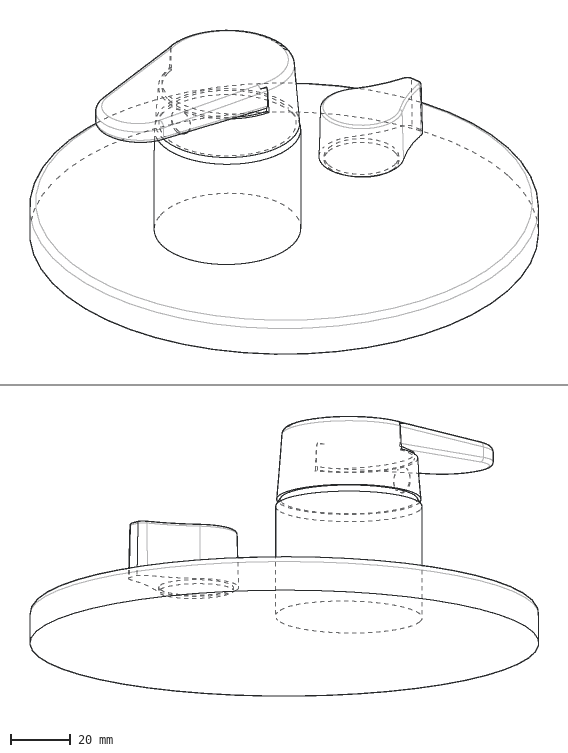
import cadquery as cq
import math

overall_length = 171.0
plate_diameter = 169.9
plate_radius = plate_diameter / 2
rim_height = 11.8
crown_height = 13.3
rim_fillet = 2.0

body_y = -27.9
body_radius = 24.5
body_top = 50.5
groove_radius = 23.0

hub_bottom = 52.9
hub_bottom_radius = 24.1
hub_top_radius = 22.2
lever_top = 76.8
lever_fillet = 2.0

ledge_z = 66.9
ledge_radius = 21.9
ledge_start_y = -32.0

arm_tip_radius = 14.2
arm_tip_y = plate_radius - overall_length
arm_back_bottom = 66.2
arm_tip_bottom = 70.5
arm_lower_fillet = 1.4

plug_radius = 4.3
plug_z = 62.6
plug_flat_depth = 0.5

knob_y = 38.1
knob_radius = 14.2
knob_bottom = 13.9
knob_top = 32.7
knob_draft = 1.5
knob_fillet = 0.9
knob_tip_half_width = 4.5
knob_shoulder_y = 62.8
knob_tip_y = 65.3
knob_tip_corner = 2.4
knob_blend_angle = math.radians(34)
stem_radius = 12.5


def make_plate():
    rim = cq.Workplane("XY").circle(plate_radius).extrude(rim_height)
    rim = rim.faces(">Z").edges().fillet(rim_fillet)
    face_radius = plate_radius - rim_fillet
    crown = (
        cq.Workplane("XZ")
        .moveTo(0, 0)
        .lineTo(face_radius, 0)
        .lineTo(face_radius, rim_height)
        .lineTo(0, crown_height)
        .close()
        .revolve(360, (0, 0, 0), (0, 1, 0))
    )
    return rim.union(crown)


def make_body_and_hub():
    """Body, groove and tapered hub, turned about one vertical axis."""
    profile = [
        (0, 0),
        (body_radius, 0),
        (body_radius, body_top),
        (groove_radius, hub_bottom),
        (hub_bottom_radius, hub_bottom),
        (hub_top_radius, lever_top),
        (0, lever_top),
    ]
    turned = cq.Workplane("XZ").polyline(profile).close().revolve(360, (0, 0, 0), (0, 1, 0))
    turned = turned.faces(">Z").edges().fillet(lever_fillet)
    return turned.translate((0, body_y, 0))


def cut_ledge(part):
    """Trim the front of the hub above the ledge to a smaller cylinder."""
    height = lever_top - ledge_z
    ring = (
        cq.Workplane("XY", origin=(0, body_y, ledge_z))
        .circle(hub_bottom_radius)
        .circle(ledge_radius)
        .extrude(height)
    )
    front_size = 2 * hub_bottom_radius
    front = (
        cq.Workplane("XY", origin=(0, ledge_start_y - front_size / 2, ledge_z))
        .rect(front_size, front_size)
        .extrude(height)
    )
    return part.cut(ring.intersect(front))


def make_arm():
    """Two circles joined by their tangent lines, with a rising underside."""
    tip_center_y = arm_tip_y + arm_tip_radius
    lean = math.asin((hub_top_radius - arm_tip_radius) / (body_y - tip_center_y))
    root_x = hub_top_radius * math.cos(lean)
    root_y = body_y - hub_top_radius * math.sin(lean)
    end_x = arm_tip_radius * math.cos(lean)
    end_y = tip_center_y - arm_tip_radius * math.sin(lean)
    blank = (
        cq.Workplane("XY")
        .moveTo(-root_x, root_y)
        .threePointArc((0, body_y + hub_top_radius), (root_x, root_y))
        .lineTo(end_x, end_y)
        .threePointArc((0, arm_tip_y), (-end_x, end_y))
        .close()
        .extrude(lever_top)
    )
    side = (
        cq.Workplane("YZ")
        .moveTo(arm_tip_y, arm_tip_bottom)
        .lineTo(body_y + hub_top_radius, arm_back_bottom)
        .lineTo(body_y + hub_top_radius, lever_top)
        .lineTo(arm_tip_y, lever_top)
        .close()
        .extrude(hub_top_radius, both=True)
    )
    arm = blank.intersect(side)
    arm = arm.faces(">Z").edges().fillet(lever_fillet)
    return arm.faces("<Z").edges().fillet(arm_lower_fillet)


def cut_plug_seat(part):
    taper = (hub_bottom_radius - hub_top_radius) / (lever_top - hub_bottom)
    hub_radius = hub_bottom_radius - taper * (plug_z - hub_bottom)
    flat_y = body_y - hub_radius + plug_flat_depth
    cutter = (
        cq.Workplane("XZ", origin=(0, flat_y, plug_z))
        .circle(plug_radius)
        .extrude(2 * plug_flat_depth)
    )
    return part.cut(cutter)


def make_knob():
    """Teardrop knob: a round end that narrows through hollow flanks to a blunt tip."""
    blend_x = knob_radius * math.cos(knob_blend_angle)
    blend_y = knob_y + knob_radius * math.sin(knob_blend_angle)
    tip_x = knob_tip_half_width - knob_tip_corner
    half = (
        cq.Workplane("XY")
        .moveTo(0, knob_y - knob_radius)
        .threePointArc((knob_radius, knob_y), (blend_x, blend_y))
        .tangentArcPoint((knob_tip_half_width - blend_x, knob_shoulder_y - blend_y))
        .tangentArcPoint((tip_x - knob_tip_half_width, knob_tip_y - knob_shoulder_y))
        .lineTo(0, knob_tip_y)
    )
    knob = half.mirrorY().extrude(knob_top - knob_bottom, taper=knob_draft)
    knob = knob.faces(">Z").edges().fillet(knob_fillet)
    stem = cq.Workplane("XY").center(0, knob_y).circle(stem_radius).extrude(knob_bottom)
    return knob.translate((0, 0, knob_bottom)).union(stem)


lever = cut_ledge(make_body_and_hub()).union(make_arm())
result = make_plate().union(cut_plug_seat(lever)).union(make_knob())